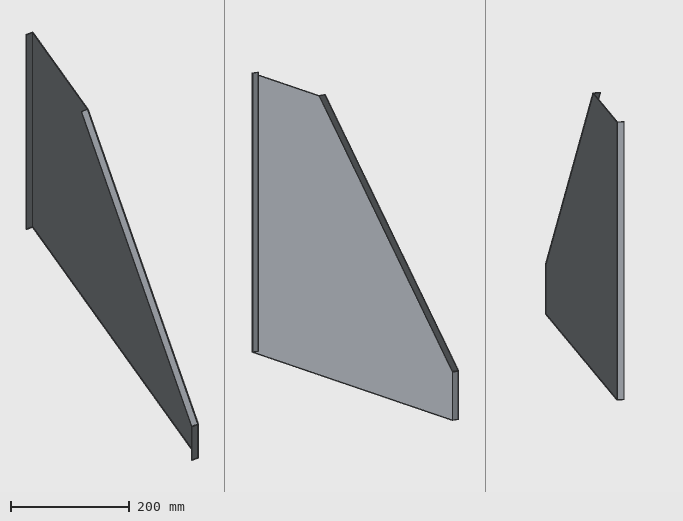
import cadquery as cq
import math

length = 600.0
plate_height = 483.5
depth = 12.5
sheet = 1.0
top_edge_length = 200.0

right_edge_height = plate_height - (length - top_edge_length)
slope_shift = sheet / math.sqrt(2)
outer_right_height = right_edge_height + 2 * slope_shift


def extrude_outline(points, thickness):
    """Extrude an XZ outline forward (-Y) from the back face at Y = 0."""
    return cq.Workplane("XZ").polyline(points).close().extrude(thickness)


def upright_flange(left, height):
    """Flange along a vertical edge, one sheet thick in X."""
    return cq.Workplane("XY").box(sheet, depth, height, centered=False).translate((left, -depth, 0))


plate = extrude_outline(
    [
        (0, 0),
        (length, 0),
        (length, right_edge_height),
        (top_edge_length, plate_height),
        (0, plate_height),
    ],
    sheet,
)

left_flange = upright_flange(0, plate_height)
right_flange = upright_flange(length - sheet, right_edge_height)

sloping_flange = extrude_outline(
    [
        (top_edge_length, plate_height),
        (top_edge_length + slope_shift, plate_height + slope_shift),
        (length, outer_right_height),
        (length, right_edge_height),
    ],
    depth,
)

result = plate.union(left_flange).union(right_flange).union(sloping_flange)